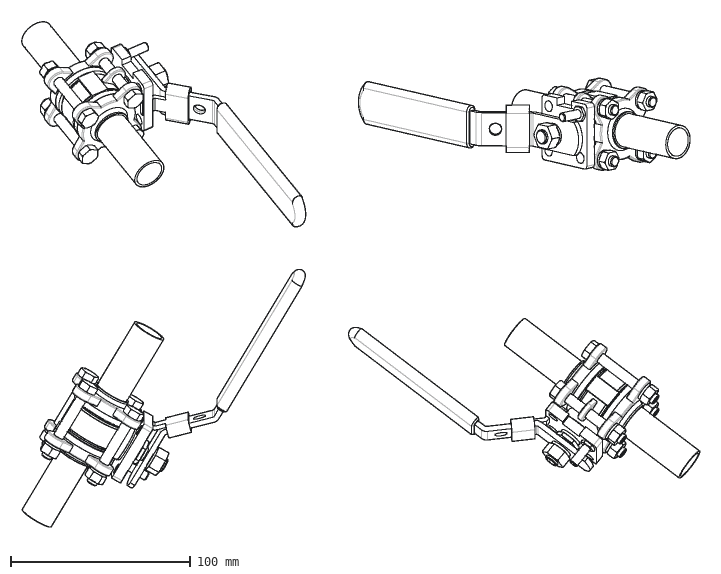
import cadquery as cq
import math


pipe_left_end = -61.95
pipe_right_end = 62.05
pipe_diameter = 19.0
bore_diameter = 16.0
hub_root_diameter = 24.0
hub_tip_diameter = 21.0
hub_tip_x = 20.2
hub_end_x = 21.2

flange_outer_x = 17.9
flange_inner_x = 12.9
flange_hub_inner_x = 11.9
flange_diameter = 34.5
lobe_radius = 6.5
bolt_offset = 21.2 - lobe_radius
flange_lobe_slope = math.radians(31)
flange_lobe_foot = 4.6
flange_edge_round = 0.6

body_ring_diameter = 34.0
body_ring_inner_x = 8.5
body_core_half_length = 6.4
body_core_diameter = 33.0
body_groove_diameter = 30.0
seal_ring_diameter = 31.5
seal_ring_half_length = 7.5
label_length = 16.0
label_width = 10.0
label_face_z = 17.0
fin_thickness = 3.4
fin_radius = 5.7
fin_slope = math.radians(40)
fin_foot = 6.3
fin_edge_round = 0.6

bolt_diameter = 6.0
bolt_end_x = -26.7
bolt_end_chamfer = 0.5
bolt_hex_size = 10.0
hex_chamfer = 0.4
collar_diameter = 10.5
collar_length = 1.4
bolt_nut_height = 5.0
bolt_head_height = 4.1

neck_diameter = 21.0
neck_top_diameter = 20.01
neck_step_y = 21.4
pad_bottom_y = 22.5
pad_thickness = 5.8
pad_top_y = pad_bottom_y + pad_thickness
pad_length = 36.0
pad_width = 37.2
pad_corner_radius = 2.0
pad_notch_length = 11.8
pad_notch_depth = 4.2
pad_hole_diameter = 6.0
pad_hole_offset = 12.73

stem_diameter = 8.0
stem_top_y = 46.6
stem_chamfer = 0.5
stem_hex_size = 13.0
spacer_diameter = 12.7
spacer_height = 1.7
thin_nut_height = 2.2
stem_nut_height = 6.6
stem_nut_top_y = 45.0

stop_pin_diameter = 5.0
stop_pin_top_y = 42.6
stop_pin_hex_size = 8.0
stop_pin_hex_height = 1.7

lever_thickness = 3.0
lever_width = 19.0
lever_low_y = 35.3
lever_high_y = 56.5
lever_left_x = -20.2
lever_end_bulge = 3.8
lever_bend_x = 17.8
lever_overlap_in_grip = 6.0
lever_bend_inner_radius = 1.5
lever_hole_diameter = 6.8
lever_hole_y = 50.2

grip_start_x = 45.0
grip_end_x = 134.99
grip_thickness = 6.5
grip_width = 24.4
grip_end_radius = 15.4
grip_start_chamfer = 1.0

sleeve_x = 23.9
sleeve_length = 13.0
sleeve_wall = 2.25
sleeve_width = 27.0
tab_width = 10.0
tab_x = 16.5
tab_bottom_y = 21.9


def rod_x(diameter, x_from, x_to, y=0, z=0):
    """Cylinder along X."""
    return cq.Workplane("YZ", origin=(x_from, y, z)).circle(diameter / 2).extrude(x_to - x_from)


def rod_y(diameter, y_from, y_to, x=0, z=0):
    """Cylinder along Y."""
    return cq.Workplane("XZ", origin=(x, y_from, z)).circle(diameter / 2).extrude(y_from - y_to)


def hexagon(plane, blank, across_flats, height, turn=0):
    """Hexagon prism with corners cut to the round blank, one corner on local x before the turn."""
    prism = plane.transformed(rotate=(0, 0, turn)).polygon(6, corner_width(across_flats)).extrude(height)
    return prism.intersect(blank.edges("%CIRCLE").chamfer(hex_chamfer))


def corner_width(across_flats):
    return across_flats / math.cos(math.radians(30))


def hex_x(across_flats, x_from, x_to, y, z, turn):
    """Hexagon nut or head along X."""
    blank = rod_x(corner_width(across_flats), x_from, x_to, y, z)
    plane = cq.Workplane("YZ", origin=(x_from, y, z))
    return hexagon(plane, blank, across_flats, x_to - x_from, turn)


def hex_y(across_flats, y_from, y_to, x=0, z=0):
    """Hexagon nut along Y with a corner on X."""
    blank = rod_y(corner_width(across_flats), y_from, y_to, x, z)
    plane = cq.Workplane("XZ", origin=(x, y_from, z))
    return hexagon(plane, blank, across_flats, y_from - y_to)


def lobe_plate(x_from, x_to, radius, slope, foot_near):
    """Bolt lobe in the +Y +Z quadrant with straight flanks running down to the round body."""
    thickness = x_to - x_from
    flank_near = bolt_offset - radius * math.sin(slope)
    flank_far = bolt_offset + radius * math.cos(slope)
    foot_far = flank_far - (flank_near - foot_near) * math.tan(slope)
    tip = bolt_offset + radius / math.sqrt(2)
    return (
        cq.Workplane("YZ", origin=(x_from, 0, 0))
        .moveTo(0, 0)
        .lineTo(foot_near, foot_far)
        .lineTo(flank_near, flank_far)
        .threePointArc((tip, tip), (flank_far, flank_near))
        .lineTo(foot_far, foot_near)
        .close()
        .extrude(thickness)
    )


def make_flange():
    """End flange on the +X side: round plate, four bolt lobes and the tapered weld hub."""
    plate = rod_x(flange_diameter, flange_inner_x, flange_outer_x)
    lobe = lobe_plate(flange_inner_x, flange_outer_x, lobe_radius, flange_lobe_slope, flange_lobe_foot)
    for quarter in range(4):
        plate = plate.union(lobe.rotate((0, 0, 0), (1, 0, 0), 90 * quarter))
    plate = plate.faces("<X or >X").edges().fillet(flange_edge_round)
    inner_step = rod_x(flange_diameter, flange_hub_inner_x, flange_outer_x - flange_edge_round)
    hub = (
        cq.Workplane("XY")
        .moveTo(flange_hub_inner_x, 0)
        .lineTo(flange_hub_inner_x, hub_root_diameter / 2)
        .lineTo(flange_outer_x, hub_root_diameter / 2)
        .lineTo(hub_tip_x, hub_tip_diameter / 2)
        .lineTo(hub_end_x, hub_tip_diameter / 2)
        .lineTo(hub_end_x, 0)
        .close()
        .revolve(360, (0, 0, 0), (1, 0, 0))
    )
    return plate.union(inner_step).union(hub)


def make_body():
    """Centre piece: two end rings, grooves, core, label plate and the fin over one bolt."""
    body = rod_x(body_groove_diameter, -flange_hub_inner_x, flange_hub_inner_x)
    body = body.union(rod_x(body_core_diameter, -body_core_half_length, body_core_half_length))
    body = body.union(rod_x(seal_ring_diameter, -seal_ring_half_length, seal_ring_half_length))
    ring = rod_x(body_ring_diameter, body_ring_inner_x, flange_hub_inner_x)
    body = body.union(ring).union(ring.mirror("YZ"))
    label = cq.Workplane("XY").rect(label_length, label_width).extrude(label_face_z)
    fin = lobe_plate(-fin_thickness / 2, fin_thickness / 2, fin_radius, fin_slope, fin_foot)
    fin = fin.faces("<X or >X").edges().fillet(fin_edge_round)
    fin_half = cq.Workplane("XY").box(
        fin_thickness, 3 * bolt_offset, 2 * bolt_offset, centered=(True, False, False)
    )
    fin_half = fin_half.translate((0, fin_foot, fin_foot))
    return body.union(label).union(fin.intersect(fin_half))


def make_bolt(y, z):
    """Flange bolt with head on +X, collared nut on -X."""
    turn = 90 if y * z > 0 else 0
    shaft = rod_x(bolt_diameter, bolt_end_x, flange_outer_x, y, z).faces("<X").chamfer(bolt_end_chamfer)
    collar_x = -flange_outer_x - collar_length
    collar = rod_x(collar_diameter, collar_x, -flange_outer_x, y, z)
    nut = hex_x(bolt_hex_size, collar_x - bolt_nut_height, collar_x, y, z, turn)
    head = hex_x(bolt_hex_size, flange_outer_x, flange_outer_x + bolt_head_height, y, z, turn)
    return shaft.union(collar).union(nut).union(head)


def make_pad():
    """Actuator mounting pad, notched in the middle of its +Z side, on a round neck."""
    pad = cq.Workplane("XZ", origin=(0, pad_bottom_y, 0)).rect(pad_length, pad_width).extrude(-pad_thickness)
    pad = pad.edges("|Y").fillet(pad_corner_radius)
    notch = (
        cq.Workplane("XZ", origin=(0, pad_bottom_y, pad_width / 2))
        .rect(pad_notch_length, 2 * pad_notch_depth)
        .extrude(-pad_thickness)
    )
    neck = rod_y(neck_diameter, 0, neck_step_y).union(rod_y(neck_top_diameter, neck_step_y, pad_bottom_y))
    offset = pad_hole_offset
    hole_points = [(offset, offset), (offset, -offset), (-offset, -offset)]
    holes = (
        cq.Workplane("XZ", origin=(0, pad_bottom_y, 0))
        .pushPoints(hole_points)
        .circle(pad_hole_diameter / 2)
        .extrude(-pad_thickness)
    )
    return pad.cut(notch).cut(holes).union(neck)


def make_stem():
    """Stem with spacer, thin nut below the lever and full nut above it."""
    stem = rod_y(stem_diameter, pad_bottom_y, stem_top_y).faces(">Y").chamfer(stem_chamfer)
    spacer_top_y = pad_top_y + spacer_height
    stem_nut_bottom_y = stem_nut_top_y - stem_nut_height
    spacer = rod_y(spacer_diameter, pad_top_y, spacer_top_y)
    thin_nut = hex_y(stem_hex_size, spacer_top_y, spacer_top_y + thin_nut_height)
    nut_face = rod_y(spacer_diameter, lever_low_y, stem_nut_bottom_y)
    nut = hex_y(stem_hex_size, stem_nut_bottom_y, stem_nut_top_y)
    return stem.union(spacer).union(thin_nut).union(nut_face).union(nut)


def make_stop_pin():
    """Round stop pin on a hexagon foot, in the -X +Z corner of the pad."""
    x = -pad_hole_offset
    z = pad_hole_offset
    pin = rod_y(stop_pin_diameter, pad_top_y, stop_pin_top_y, x, z).faces(">Y").chamfer(stem_chamfer)
    return pin.union(hex_y(stop_pin_hex_size, pad_top_y, pad_top_y + stop_pin_hex_height, x, z))


def make_lever():
    """Flat strip with a 45 degree rise, a bulged free end and a lock hole in the rise."""
    half = lever_thickness / 2
    mitre = half * math.tan(math.radians(22.5))
    upper_bend_x = lever_bend_x + lever_high_y - lever_low_y
    right_x = grip_start_x + lever_overlap_in_grip
    strip = (
        cq.Workplane("XY", origin=(0, 0, -lever_width / 2))
        .moveTo(lever_left_x, lever_low_y - half)
        .lineTo(lever_bend_x + mitre, lever_low_y - half)
        .lineTo(upper_bend_x + mitre, lever_high_y - half)
        .lineTo(right_x, lever_high_y - half)
        .lineTo(right_x, lever_high_y + half)
        .lineTo(upper_bend_x - mitre, lever_high_y + half)
        .lineTo(lever_bend_x - mitre, lever_low_y + half)
        .lineTo(lever_left_x, lever_low_y + half)
        .close()
        .extrude(lever_width)
    )
    outer_radius = lever_bend_inner_radius + lever_thickness
    for x, y, turn_sign in ((lever_bend_x, lever_low_y, 1), (upper_bend_x, lever_high_y, -1)):
        for side in (-1, 1):
            corner = (x - side * mitre, y + side * half, 0)
            radius = lever_bend_inner_radius if side == turn_sign else outer_radius
            strip = strip.edges(cq.selectors.NearestToPointSelector(corner)).fillet(radius)
    shoulder_x = lever_left_x + lever_end_bulge
    outline = (
        cq.Workplane("XZ")
        .moveTo(right_x, -lever_width / 2)
        .lineTo(shoulder_x, -lever_width / 2)
        .threePointArc((lever_left_x, 0), (shoulder_x, lever_width / 2))
        .lineTo(right_x, lever_width / 2)
        .close()
        .extrude(-lever_high_y - lever_thickness)
    )
    hole_x = lever_bend_x + lever_hole_y - lever_low_y
    hole_plane = cq.Plane(origin=(hole_x, lever_hole_y, 0), xDir=(0, 0, 1), normal=(1, -1, 0))
    hole = cq.Workplane(hole_plane).circle(lever_hole_diameter / 2).extrude(lever_thickness, both=True)
    return strip.intersect(outline).cut(hole)


def make_grip():
    """Grip with fully rounded sides and a rounded, arched end."""
    start_plane = cq.Workplane("YZ", origin=(grip_start_x, lever_high_y, 0))
    grip = start_plane.slot2D(grip_width, grip_thickness, 90).extrude(grip_end_x - grip_start_x)
    grip = grip.faces("<X").edges().chamfer(grip_start_chamfer)
    half = grip_thickness / 2
    arch_x = grip_end_x - grip_end_radius
    rim = grip_end_radius - half
    arched_disc = (
        cq.Workplane("XY", origin=(arch_x, lever_high_y, 0))
        .moveTo(0, -half)
        .lineTo(rim, -half)
        .threePointArc((grip_end_radius, 0), (rim, half))
        .lineTo(0, half)
        .close()
        .revolve(360, (0, 0, 0), (0, 1, 0))
    )
    corner_x = arch_x + math.sqrt(grip_end_radius ** 2 - (grip_width / 2) ** 2)
    straight = (
        cq.Workplane("YZ", origin=(grip_start_x, lever_high_y, 0))
        .rect(grip_thickness, grip_width)
        .extrude(corner_x - grip_start_x)
    )
    return grip.intersect(straight.union(arched_disc))


def make_lock_sleeve():
    """Flattened tube around the rise of the lever, its lower wall extended into a lock tab."""
    sleeve_y = sleeve_x + lever_low_y - lever_bend_x
    thickness = lever_thickness + 2 * sleeve_wall
    plane = cq.Plane(origin=(sleeve_x, sleeve_y, 0), xDir=(0, 0, 1), normal=(1, 1, 0))
    half_length = sleeve_length / 2
    sleeve = cq.Workplane(plane).slot2D(sleeve_width, thickness).extrude(half_length, both=True)
    opening_width = sleeve_width - 2 * sleeve_wall
    opening = cq.Workplane(plane).slot2D(opening_width, lever_thickness).extrude(half_length, both=True)

    drop = (lever_thickness + sleeve_wall) / math.sqrt(2)
    tab_rise = sleeve_y - drop - sleeve_x
    half_wall = sleeve_wall / 2
    mitre = half_wall * math.tan(math.radians(22.5))
    bend_y = tab_x + tab_rise
    tab_end_x = sleeve_x
    diagonal_half = half_wall / math.sqrt(2)
    tab_end_y = tab_end_x + tab_rise
    tab = (
        cq.Workplane("XY", origin=(0, 0, -tab_width / 2))
        .moveTo(tab_x - half_wall, tab_bottom_y)
        .lineTo(tab_x - half_wall, bend_y + mitre)
        .lineTo(tab_end_x - diagonal_half, tab_end_y + diagonal_half)
        .lineTo(tab_end_x + diagonal_half, tab_end_y - diagonal_half)
        .lineTo(tab_x + half_wall, bend_y - mitre)
        .lineTo(tab_x + half_wall, tab_bottom_y)
        .close()
        .extrude(tab_width)
    )
    return sleeve.cut(opening).union(tab)


flange = make_flange()
valve = make_body().union(flange).union(flange.mirror("YZ"))
valve = valve.union(rod_x(pipe_diameter, pipe_left_end, pipe_right_end))
for y_side in (-1, 1):
    for z_side in (-1, 1):
        valve = valve.union(make_bolt(y_side * bolt_offset, z_side * bolt_offset))
valve = valve.union(make_pad()).union(make_stem()).union(make_stop_pin())
valve = valve.union(make_lever()).union(make_grip()).union(make_lock_sleeve())
result = valve.cut(rod_x(bore_diameter, pipe_left_end, pipe_right_end))